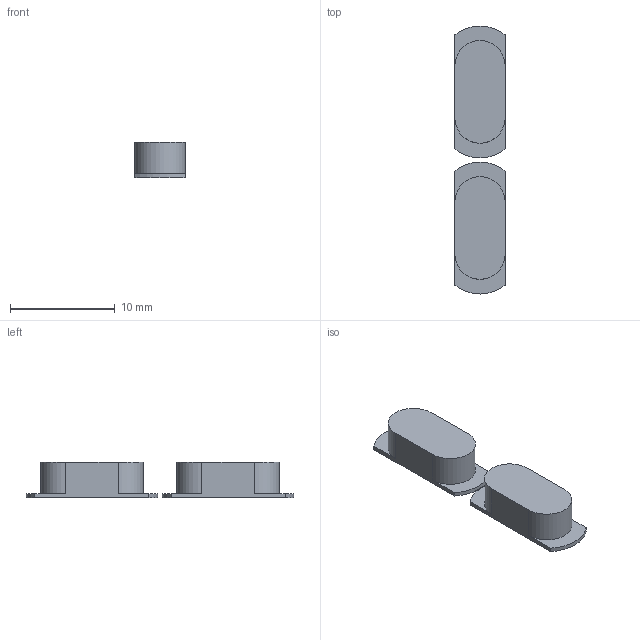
import cadquery as cq

width = 4.8
total_height = 3.4
cap_length = 9.8

flange_thickness = 0.4
end_overhang = 1.4

button_count = 2
gap_between_buttons = 0.4

flange_length = cap_length + 2 * end_overhang
pitch = flange_length + gap_between_buttons


def make_cap():
    """Round-ended block rising from the bottom face to the full height."""
    return cq.Workplane("XY").slot2D(cap_length, width, 90).extrude(total_height)


def make_flange():
    """Flat plate with end arcs concentric with the cap ends, trimmed flush with the cap sides."""
    outline_width = width + 2 * end_overhang
    rounded_plate = cq.Workplane("XY").slot2D(flange_length, outline_width, 90).extrude(flange_thickness)
    side_limits = cq.Workplane("XY").rect(width, flange_length).extrude(flange_thickness)
    return rounded_plate.intersect(side_limits)


def make_button(y_center):
    """One button: a cap and its flange as a single solid."""
    button = make_cap().union(make_flange())
    return button.translate((0, y_center, 0))


first_center = -pitch * (button_count - 1) / 2
buttons = [make_button(first_center + index * pitch) for index in range(button_count)]

result = cq.Compound.makeCompound([button.val() for button in buttons])